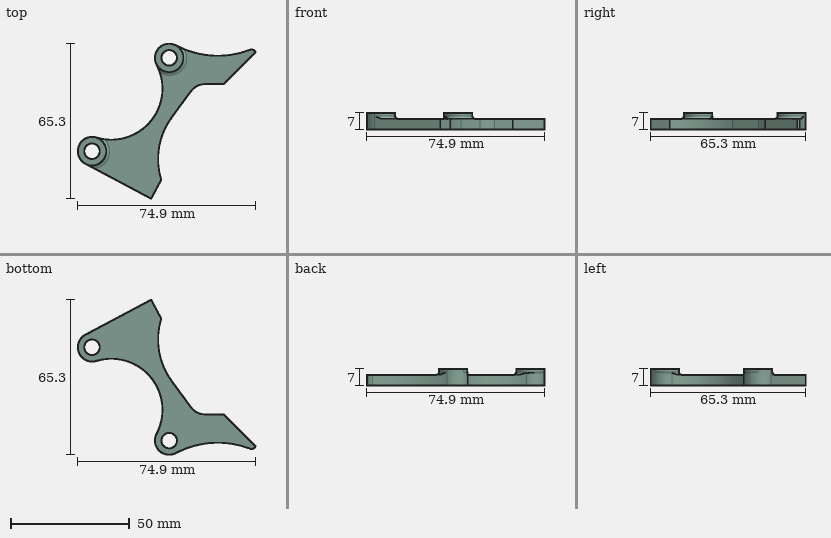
import cadquery as cq
import math

plate_thickness = 4.5
boss_height = 7.0
boss_radius = 6.0
hole_radius = 3.2
foot_fillet = 1.3

clearance_center = (14.15, 46.45)
clearance_radius = 21.5
lower_boss = (6.0, 20.1)
upper_boss = (38.5, 59.4)

lower_edge_angle = 28.0
lower_corner_x = 30.95
lower_end_width = 9.1

inner_arc_center = (63.5, 16.8)
inner_arc_radius = 29.7
web_angle = 53.7
step_y = 48.3
step_radius = 7.5

arm_heel_x = 61.5
tip = (74.9, 61.7)
top_arc_center_x = 58.95
top_arc_radius = 37.45
top_arc_end_x = 72.5


def polar(center, radius, angle):
    """Point at an angle in degrees on a circle."""
    turn = math.radians(angle)
    return (center[0] + radius * math.cos(turn), center[1] + radius * math.sin(turn))


def heading(start, end):
    """Direction in degrees from one point to another."""
    return math.degrees(math.atan2(end[1] - start[1], end[0] - start[0]))


def circle_y_below(center, radius, x):
    """Y of the lower half of a circle at x."""
    return center[1] - math.sqrt(radius**2 - (x - center[0])**2)


def plate_outline():
    """Closed outline of the bracket, following tangent arcs round both bosses."""
    lower_tangent = polar(lower_boss, boss_radius, -90 - lower_edge_angle)
    lower_run = lower_corner_x - lower_tangent[0]
    lower_drop = lower_run * math.tan(math.radians(lower_edge_angle))
    lower_corner = (lower_corner_x, lower_tangent[1] - lower_drop)
    end_corner = polar(lower_corner, lower_end_width, 90 - lower_edge_angle)

    web_start_angle = 90 + web_angle
    web_start = polar(inner_arc_center, inner_arc_radius, web_start_angle)
    inner_start_angle = heading(inner_arc_center, end_corner) % 360
    inner_mid = polar(inner_arc_center, inner_arc_radius, (inner_start_angle + web_start_angle) / 2)

    web_slope = math.radians(web_angle)
    step_corner_x = web_start[0] + (step_y - web_start[1]) / math.tan(web_slope)
    setback = step_radius * math.tan(web_slope / 2)
    step_start = polar((step_corner_x, step_y), -setback, web_angle)
    step_end = (step_corner_x + setback, step_y)
    step_mid = polar((step_end[0], step_y - step_radius), step_radius, 90 + web_angle / 2)

    center_distance = boss_radius + top_arc_radius
    center_offset_x = top_arc_center_x - upper_boss[0]
    top_center = (top_arc_center_x, upper_boss[1] + math.sqrt(center_distance**2 - center_offset_x**2))
    top_start = (top_arc_end_x, circle_y_below(top_center, top_arc_radius, top_arc_end_x))
    top_mid = (top_arc_center_x, top_center[1] - top_arc_radius)
    top_angle = heading(upper_boss, top_center)
    top_end = polar(upper_boss, boss_radius, top_angle)

    chord_angle = heading(top_start, tip)
    tangent_angle = heading(top_center, top_start) + 90
    bulge_angle = (tangent_angle - chord_angle) / 2
    half_chord = math.dist(top_start, tip) / 2
    tip_mid = polar(top_start, half_chord / math.cos(math.radians(bulge_angle)), chord_angle + bulge_angle)

    upper_angle = heading(clearance_center, upper_boss)
    lower_angle = heading(clearance_center, lower_boss)
    clearance_start = polar(clearance_center, clearance_radius, upper_angle)
    clearance_mid = polar(clearance_center, clearance_radius, (upper_angle + lower_angle) / 2)
    clearance_end = polar(clearance_center, clearance_radius, lower_angle)

    upper_outer = polar(upper_boss, boss_radius, (top_angle + upper_angle + 180) / 2)
    lower_outer = (lower_boss[0] - boss_radius, lower_boss[1])

    return (
        cq.Workplane("XY")
        .moveTo(*lower_tangent)
        .lineTo(*lower_corner)
        .lineTo(*end_corner)
        .threePointArc(inner_mid, web_start)
        .lineTo(*step_start)
        .threePointArc(step_mid, step_end)
        .lineTo(arm_heel_x, step_y)
        .lineTo(*tip)
        .threePointArc(tip_mid, top_start)
        .threePointArc(top_mid, top_end)
        .threePointArc(upper_outer, clearance_start)
        .threePointArc(clearance_mid, clearance_end)
        .threePointArc(lower_outer, lower_tangent)
        .close()
    )


def boss(center):
    """Round boss whose foot flares into the plate with a concave fillet."""
    foot_radius = boss_radius + foot_fillet
    fillet_top = plate_thickness + foot_fillet
    fillet_mid = polar((foot_radius, fillet_top), foot_fillet, 225)
    return (
        cq.Workplane("XZ")
        .lineTo(foot_radius, 0)
        .lineTo(foot_radius, plate_thickness)
        .threePointArc(fillet_mid, (boss_radius, fillet_top))
        .lineTo(boss_radius, boss_height)
        .lineTo(0, boss_height)
        .close()
        .revolve(360, (0, 0), (0, 1))
        .translate((*center, 0))
    )


boss_centers = [lower_boss, upper_boss]
plate = plate_outline().extrude(plate_thickness)
outline_prism = plate_outline().extrude(boss_height)

result = plate
for boss_center in boss_centers:
    result = result.union(boss(boss_center).intersect(outline_prism))

holes = cq.Workplane("XY").pushPoints(boss_centers).circle(hole_radius).extrude(boss_height)
result = result.cut(holes)